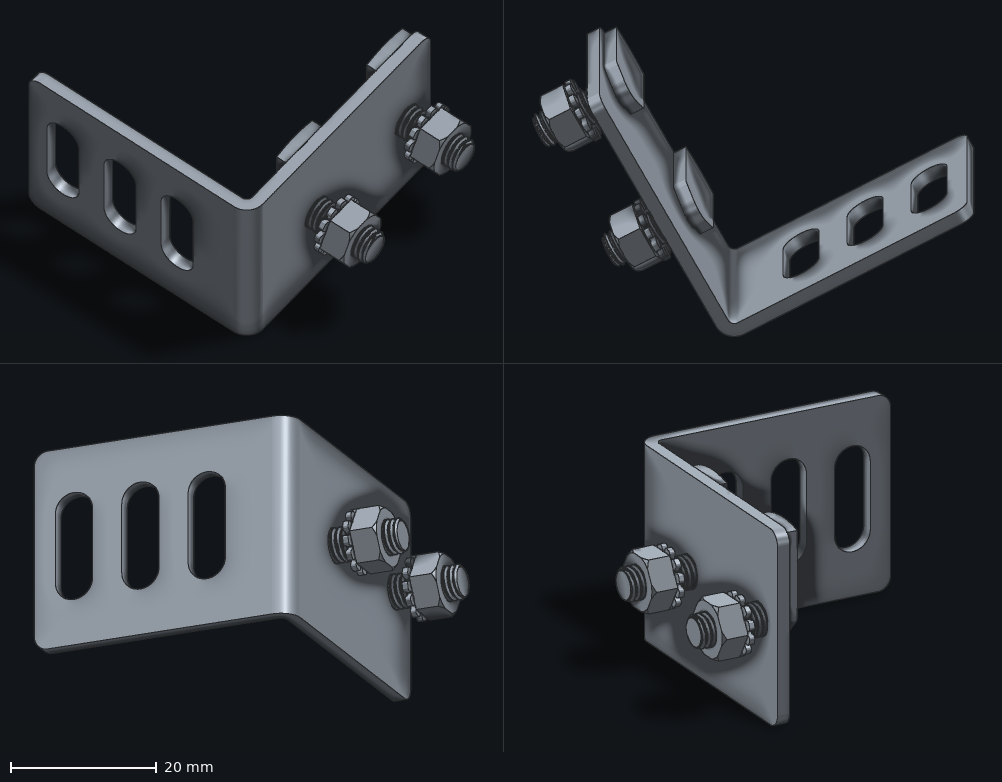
import cadquery as cq
import math

slotted_leg_length = 38.75
bolted_leg_length = 40.0
bracket_height = 29.0
sheet_thickness = 1.9
inner_bend_radius = 1.0
outer_bend_radius = inner_bend_radius + sheet_thickness
corner_radius = 2.0

slot_count = 3
slot_width = 5.6
slot_length = 15.65
slot_pitch = 10.0
first_slot_x = 6.0

bolt_count = 2
first_bolt_y = 14.7
bolt_pitch = 20.0
bolt_z = bracket_height / 2
bolt_end_x = 49.0
head_thickness = 1.95
head_width = 7.95
head_top_radius = 14.3
head_corner_radius = 1.45
head_seat_x = slotted_leg_length - sheet_thickness

thread_diameter = 5.0
core_diameter = 4.1
pitch_ratio = 0.16
thread_pitch = pitch_ratio * thread_diameter
shank_length = bolt_end_x - head_seat_x
crest_width = 0.1
root_width = 0.16
flank_steps = 4
thread_start_angle = 196
tip_chamfer = 0.4
envelope_margin = 0.5
bore_diameter = 5.05

washer_x = 41.85
washer_thickness = 0.85
washer_root_radius = 2.95
tooth_count = 12
tooth_tip_radius = 4.55
tooth_width = 1.4
tooth_corner_radius = 0.45
nut_x = 42.95
nut_thickness = 3.8
nut_across_flats = 8.0
nut_across_corners = nut_across_flats / math.cos(math.pi / 6)
nut_chamfer = 0.5
collar_diameter = 6.55


def axial_plane(x):
    """Plane across the first bolt axis: local x is +Y, local y is +Z and the normal is +X."""
    return cq.Plane(origin=(x, first_bolt_y, bolt_z), xDir=(0, 1, 0), normal=(1, 0, 0))


def bolt_copies(body):
    """One copy of a body, made at the first bolt axis, for every bolt axis."""
    return [body.translate((0, i * bolt_pitch, 0)) for i in range(bolt_count)]


def make_bracket():
    inner_x = slotted_leg_length - sheet_thickness
    sheet = (
        cq.Workplane("XY")
        .polyline([
            (0, 0),
            (slotted_leg_length, 0),
            (slotted_leg_length, bolted_leg_length),
            (inner_x, bolted_leg_length),
            (inner_x, sheet_thickness),
            (0, sheet_thickness),
        ])
        .close()
        .extrude(bracket_height)
    )
    sheet = sheet.edges(cq.NearestToPointSelector((slotted_leg_length, 0, bolt_z))).fillet(outer_bend_radius)
    sheet = sheet.edges(cq.NearestToPointSelector((inner_x, sheet_thickness, bolt_z))).fillet(inner_bend_radius)
    sheet = sheet.faces("<X").edges("|Y").fillet(corner_radius)
    sheet = sheet.faces(">Y").edges("|X").fillet(corner_radius)

    slots = (
        cq.Workplane("XZ")
        .pushPoints([(first_slot_x + i * slot_pitch, bolt_z) for i in range(slot_count)])
        .slot2D(slot_length, slot_width, 90)
        .extrude(-sheet_thickness)
    )
    sheet = sheet.cut(slots)

    hole = cq.Workplane(axial_plane(inner_x)).circle(bore_diameter / 2).extrude(sheet_thickness)
    for bolt_hole in bolt_copies(hole):
        sheet = sheet.cut(bolt_hole)
    return sheet


def make_bolt_head():
    """Plate with an arched top and a point rounded about the bolt axis."""
    half_width = head_width / 2
    point_radius = thread_diameter / 2
    tangent = point_radius * math.sqrt(0.5)
    shoulder_z = half_width - point_radius * math.sqrt(2)
    side_top_z = math.sqrt(head_top_radius**2 - half_width**2)
    head = (
        cq.Workplane(axial_plane(head_seat_x))
        .moveTo(-half_width, side_top_z)
        .threePointArc((0, head_top_radius), (half_width, side_top_z))
        .lineTo(half_width, shoulder_z)
        .lineTo(tangent, -tangent)
        .threePointArc((0, -point_radius), (-tangent, -tangent))
        .lineTo(-half_width, shoulder_z)
        .close()
        .extrude(-head_thickness)
    )
    for side in (-1, 1):
        shoulder = (head_seat_x - head_thickness / 2, first_bolt_y + side * half_width, bolt_z + shoulder_z)
        head = head.edges(cq.NearestToPointSelector(shoulder)).fillet(head_corner_radius)
    return head


def thread_section():
    """Cross-section of the single-start thread: a crest arc and a root arc joined by spiral flanks."""
    crest_radius = thread_diameter / 2
    root_radius = core_diameter / 2
    crest_half_angle = math.pi * crest_width / thread_pitch
    root_half_angle = math.pi * root_width / thread_pitch
    flank_angle = math.pi - crest_half_angle - root_half_angle

    def polar(radius, angle):
        return (radius * math.cos(angle), radius * math.sin(angle))

    def flank_point(step, side):
        fraction = step / flank_steps
        radius = crest_radius + (root_radius - crest_radius) * fraction
        return polar(radius, side * (crest_half_angle + flank_angle * fraction))

    falling_flank = [flank_point(step, 1) for step in range(1, flank_steps + 1)]
    rising_flank = [flank_point(step, -1) for step in reversed(range(flank_steps))]
    return (
        cq.Workplane("XY")
        .moveTo(*flank_point(0, -1))
        .threePointArc(polar(crest_radius, 0), flank_point(0, 1))
        .spline(falling_flank, includeCurrent=True)
        .threePointArc(polar(root_radius, math.pi), flank_point(flank_steps, -1))
        .spline(rising_flank, includeCurrent=True)
        .close()
    )


def make_threaded_shank():
    """Section twisted right-handed once per pitch along the shank, with the tip chamfered."""
    thread = thread_section().twistExtrude(shank_length, 360 * shank_length / thread_pitch)
    envelope = (
        cq.Workplane("XY")
        .circle(thread_diameter / 2 + envelope_margin)
        .extrude(shank_length)
        .faces(">Z").chamfer(tip_chamfer + envelope_margin)
    )
    shank = thread.intersect(envelope, clean=False).rotate((0, 0, 0), (0, 0, 1), thread_start_angle)
    return cq.Workplane(shank.val().moved(cq.Location(axial_plane(head_seat_x))))


def make_bolt():
    return make_bolt_head().union(make_threaded_shank(), clean=False)


def make_toothed_washer():
    plane = axial_plane(washer_x)
    washer = cq.Workplane(plane).circle(washer_root_radius).extrude(washer_thickness)
    tooth = (
        cq.Workplane(plane)
        .center(tooth_tip_radius / 2, 0)
        .rect(tooth_tip_radius, tooth_width)
        .extrude(washer_thickness)
        .faces(">Y").edges("|X").fillet(tooth_corner_radius)
    )
    tooth_angle = 360 / tooth_count
    for i in range(tooth_count):
        angle = (i + 0.5) * tooth_angle
        washer = washer.union(tooth.rotate(plane.origin, plane.origin + plane.zDir, angle))
    return washer


def make_nut():
    """Hexagon with corners along Y, outer end chamfered, joined to its washer by a collar."""
    hexagon = cq.Workplane(axial_plane(nut_x)).polygon(6, nut_across_corners).extrude(nut_thickness)
    chamfered_blank = (
        cq.Workplane(axial_plane(nut_x)).circle(nut_across_corners / 2).extrude(nut_thickness)
        .faces(">X").chamfer(nut_chamfer)
    )
    collar = (
        cq.Workplane(axial_plane(washer_x + washer_thickness))
        .circle(collar_diameter / 2)
        .extrude(nut_x - washer_x - washer_thickness)
    )
    nut = hexagon.intersect(chamfered_blank).union(collar).union(make_toothed_washer())
    bore = (
        cq.Workplane(axial_plane(washer_x))
        .circle(bore_diameter / 2)
        .extrude(nut_x + nut_thickness - washer_x)
    )
    return nut.cut(bore)


bracket = make_bracket()
bolts = bolt_copies(make_bolt())
nuts = bolt_copies(make_nut())

result = cq.Compound.makeCompound([
    bracket.val(),
    *[bolt.val() for bolt in bolts],
    *[nut.val() for nut in nuts],
])